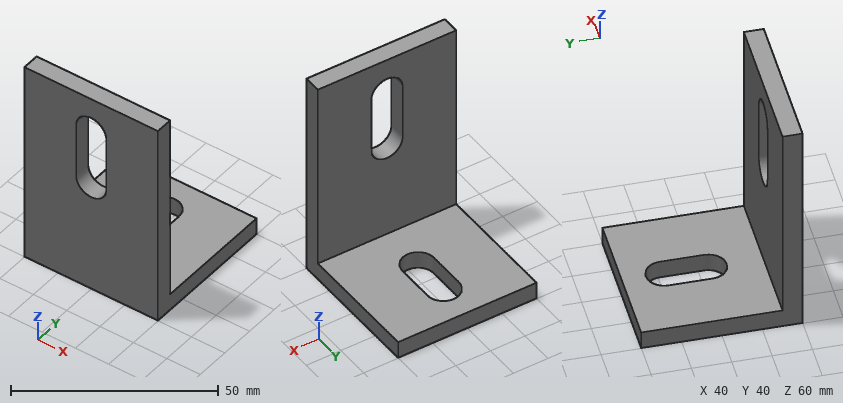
import cadquery as cq

height = 60.0
width = 40.0
depth = 40.0
thickness = 5.0

slot_width = 9.0
slot_margin = 6.0
upright_slot_length = 25.0
base_slot_length = 20.0

upright_slot_z = height - slot_margin - upright_slot_length / 2
base_slot_y = depth - slot_margin - base_slot_length / 2


def leg(size_y, size_z):
    """Plate centred in X, with its outer corner edge on the X axis."""
    return cq.Workplane("XY").box(width, size_y, size_z, centered=(True, False, False))


def slot_cutter(plane, centre, length):
    """Round-ended slot whose long axis is vertical on the plane, cutting one leg."""
    return (
        cq.Workplane(plane)
        .center(0, centre)
        .slot2D(length, slot_width, 90)
        .extrude(thickness, both=True)
    )


bracket = leg(thickness, height).union(leg(depth, thickness))

upright_slot = slot_cutter("XZ", upright_slot_z, upright_slot_length)
base_slot = slot_cutter("XY", base_slot_y, base_slot_length)
result = bracket.cut(upright_slot).cut(base_slot)